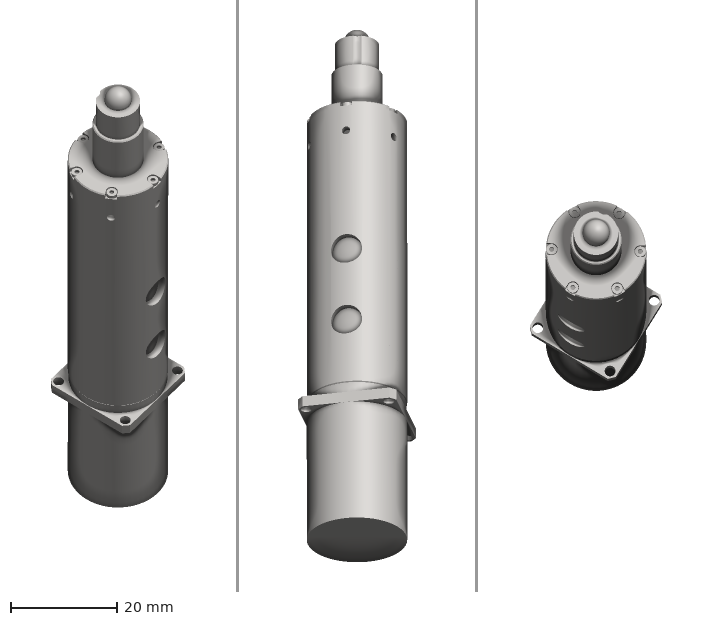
import cadquery as cq
import math

total_height = 107.0
base_height = 24.4
flange_top = 26.5
neck_top = 28.6
body_top = 87.8
stem_top = 97.8
tip_top = 104.0

body_diameter = 19.0
neck_diameter = 18.7
stem_diameter = 9.6
tip_diameter = 8.3
dome_diameter = 5.0
edge_chamfer = 0.2

flange_width = body_diameter
flange_corner_chamfer = 1.1
flange_hole_spacing = 16.0
flange_hole_diameter = 2.0

screw_count = 6
screw_circle_radius = 8.3
recess_width = 2.2
recess_depth = 1.0
head_diameter = 2.0
head_height = 0.7
socket_diameter = 0.93
socket_depth = 0.5
radial_hole_diameter = 1.6
radial_hole_z = 81.6
radial_hole_floor_radius = 8.0

window_diameter = 6.0
window_heights = (41.9, 56.7)
window_floor_radius = 8.0

groove_diameter = 3.0
groove_axis_radius = 5.4
groove_angle = 193.5


def cylinder(diameter, bottom, top):
    """Upright cylinder on the part axis."""
    return cq.Workplane("XY").workplane(offset=bottom).circle(diameter / 2).extrude(top - bottom)


def upright_cylinder(diameter, radius, angle, bottom, top):
    """Upright cylinder whose axis stands at the given radius and angle."""
    x = radius * math.cos(math.radians(angle))
    y = radius * math.sin(math.radians(angle))
    return cylinder(diameter, bottom, top).translate((x, y, 0))


def radial_cutter(diameter, floor_radius, angle, height):
    """Horizontal drill pointing outward, with a floor curved about the part axis."""
    drill = cq.Workplane("YZ").circle(diameter / 2).extrude(body_diameter)
    core = cylinder(2 * floor_radius, -diameter, diameter)
    return drill.cut(core).rotate((0, 0, 0), (0, 0, 1), angle).translate((0, 0, height))


def recess_cutter(angle):
    """U-shaped screw recess in the body top, open toward the rim."""
    floor_z = body_top - recess_depth
    round_end = cylinder(recess_width, floor_z, body_top).translate((screw_circle_radius, 0, 0))
    opening = (
        cq.Workplane("XY")
        .box(body_diameter, recess_width, recess_depth, centered=(False, True, False))
        .translate((screw_circle_radius, 0, floor_z))
    )
    return round_end.union(opening).rotate((0, 0, 0), (0, 0, 1), angle)


def make_screw_head(angle):
    """Cap screw head with a round socket, seated on the recess floor."""
    floor_z = body_top - recess_depth
    head_top = floor_z + head_height
    head = upright_cylinder(head_diameter, screw_circle_radius, angle, floor_z, head_top)
    return head.cut(
        upright_cylinder(socket_diameter, screw_circle_radius, angle, head_top - socket_depth, head_top)
    )


def make_flange():
    """Square plate with chamfered corners and a through hole in each."""
    plate = (
        cq.Workplane("XY")
        .workplane(offset=base_height)
        .rect(flange_width, flange_width)
        .extrude(flange_top - base_height)
        .edges("|Z")
        .chamfer(flange_corner_chamfer)
    )
    return (
        plate.faces(">Z")
        .workplane()
        .rect(flange_hole_spacing, flange_hole_spacing, forConstruction=True)
        .vertices()
        .hole(flange_hole_diameter)
    )


def make_tip():
    """Slim end section with one lengthwise groove."""
    tip = cylinder(tip_diameter, stem_top, tip_top)
    return tip.cut(upright_cylinder(groove_diameter, groove_axis_radius, groove_angle, stem_top, tip_top))


def make_dome():
    """Round nose on a short straight collar."""
    center_z = total_height - dome_diameter / 2
    ball = cq.Workplane("XY").sphere(dome_diameter / 2).translate((0, 0, center_z))
    return ball.union(cylinder(dome_diameter, tip_top, center_z))


base = cylinder(body_diameter, 0, base_height)
neck = cylinder(neck_diameter, flange_top, neck_top)
body = cylinder(body_diameter, neck_top, body_top).edges().chamfer(edge_chamfer)
stem = cylinder(stem_diameter, body_top, stem_top).edges(">Z").chamfer(edge_chamfer)

for index in range(screw_count):
    angle = index * 360 / screw_count
    body = body.cut(recess_cutter(angle)).union(make_screw_head(angle))
    body = body.cut(radial_cutter(radial_hole_diameter, radial_hole_floor_radius, angle, radial_hole_z))

for height in window_heights:
    for angle in (0, 180):
        body = body.cut(radial_cutter(window_diameter, window_floor_radius, angle, height))

result = base
for section in (make_flange(), neck, body, stem, make_tip(), make_dome()):
    result = result.union(section)